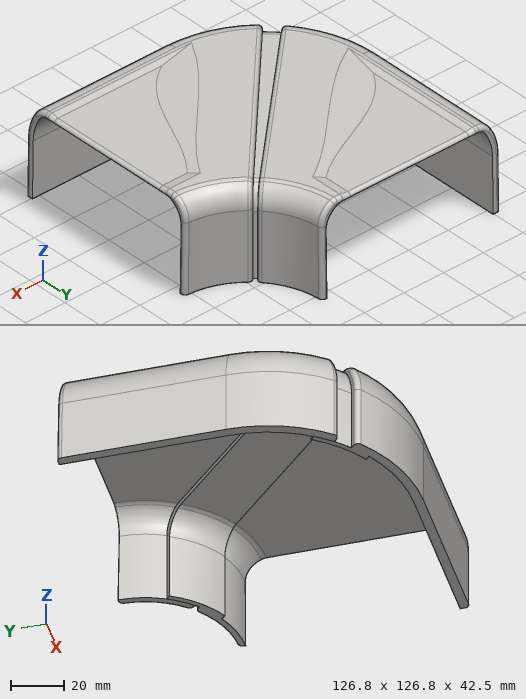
import cadquery as cq
import math

length = 126.84
height = 42.5
bend_radius = 60.6
throat_radius = 36.7

outer_edge = {"lower_radius": 22.0, "upper_radius": 7.9, "break_inset": 4.1}
throat_edge = {"lower_radius": 10.0, "upper_radius": 5.5, "break_inset": 6.2}
tongue_edge = {"lower_radius": 22.0, "upper_radius": 4.5, "break_inset": 3.6}

outer_wall = 3.8
throat_wall = 2.5
top_wall = 2.0
tongue_wall = 2.0

gap_half_width_outer = 3.8
gap_half_width_throat = 0.9
lip_radius = 1.9
tongue_reach = 12.0
tongue_root = 12.0

end_lean = 0.6
end_radius = 1.9

panel_depth = 0.6
panel_rim_curve = [(54.0, 12.1), (66.2, 29.9), (99.3, 65.7), (109.0, 79.0)]
panel_floor_curve = [(72.0, 15.5), (88.8, 32.7), (104.3, 63.8), (112.0, 75.0)]

margin = 20.0

outer_distance = bend_radius * (math.sqrt(2) - 1)
throat_distance = length * math.sqrt(2) - throat_radius
diagonal_start = outer_distance - margin
diagonal_end = throat_distance + margin
gap_taper = (gap_half_width_outer - gap_half_width_throat) / (throat_distance - outer_distance)


def edge_cutter(edge, wall_x, inward, top):
    """Section in XZ of the material above a rounded top edge; inward is +1 or -1 along X."""
    lower = edge["lower_radius"]
    upper = edge["upper_radius"]
    inset = edge["break_inset"]
    angle = math.acos(1 - inset / lower)
    mid_angle = angle / 2
    upper_mid_angle = (angle + math.pi / 2) / 2
    upper_center_inset = inset + upper * math.cos(angle)
    break_z = top - upper * (1 - math.sin(angle))
    wall_top = break_z - lower * math.sin(angle)

    def at(distance, z):
        return (wall_x + inward * distance, z)

    return (
        cq.Workplane("XZ")
        .moveTo(*at(0, wall_top))
        .threePointArc(
            at(lower * (1 - math.cos(mid_angle)), wall_top + lower * math.sin(mid_angle)),
            at(inset, break_z),
        )
        .threePointArc(
            at(upper_center_inset - upper * math.cos(upper_mid_angle),
               top - upper * (1 - math.sin(upper_mid_angle))),
            at(upper_center_inset, top),
        )
        .lineTo(*at(upper_center_inset, top + margin))
        .lineTo(*at(-margin, top + margin))
        .lineTo(*at(-margin, wall_top))
        .close()
    )


def mirror_leg(shape):
    """Swap the two legs: mirror in the vertical plane through the diagonal."""
    return shape.mirror(cq.Vector(1, -1, 0))


def bend_block(outer_inset, throat_inset, top_inset, edge):
    """Solid bend, inset from the outer surface; its legs run past the finished ends."""
    top = height - top_inset
    far = length + margin
    corner_mid = bend_radius - (bend_radius - outer_inset) / math.sqrt(2)
    throat_start = length - throat_radius - throat_inset
    throat_mid = length - (throat_radius + throat_inset) / math.sqrt(2)
    block = (
        cq.Workplane("XY")
        .moveTo(outer_inset, far)
        .lineTo(outer_inset, bend_radius)
        .threePointArc((corner_mid, corner_mid), (bend_radius, outer_inset))
        .lineTo(far, outer_inset)
        .lineTo(far, throat_start)
        .lineTo(length, throat_start)
        .threePointArc((throat_mid, throat_mid), (throat_start, length))
        .lineTo(throat_start, far)
        .close()
        .extrude(top)
    )

    outer_section = edge_cutter(edge, outer_inset, 1, top)
    outer_leg = outer_section.extrude(-(far - bend_radius)).translate((0, bend_radius, 0))
    outer_section = edge_cutter(edge, outer_inset, 1, top)
    outer_corner = outer_section.revolve(90, (bend_radius, 0), (bend_radius, 1))
    outer_corner = outer_corner.translate((0, bend_radius, 0))

    throat_section = edge_cutter(throat_edge, throat_start, -1, top)
    throat_leg = throat_section.extrude(-margin).translate((0, length, 0))
    throat_section = edge_cutter(throat_edge, throat_start, -1, top)
    throat_corner = throat_section.revolve(90, (length, 0), (length, 1))
    throat_corner = throat_corner.translate((0, length, 0))

    for cutter in (outer_leg, mirror_leg(outer_leg), outer_corner,
                   throat_leg, mirror_leg(throat_leg), throat_corner):
        block = block.cut(cutter)
    return block


def on_diagonal(distance, offset):
    """Plan point at a distance along the diagonal, offset square to it toward the X leg."""
    return ((distance + offset) / math.sqrt(2), (distance - offset) / math.sqrt(2))


def gap_half_width(distance):
    return gap_half_width_outer - gap_taper * (distance - outer_distance)


def x_leg_region():
    """Everything on the X leg's side of the gap, up to its leaning end."""
    side = (
        cq.Workplane("XY")
        .polyline([
            on_diagonal(diagonal_start, gap_half_width(diagonal_start)),
            on_diagonal(diagonal_end, gap_half_width(diagonal_end)),
            on_diagonal(diagonal_end, 2 * length),
            on_diagonal(diagonal_start, 2 * length),
        ])
        .close()
        .extrude(height)
    )
    leg = (
        cq.Workplane("XZ")
        .polyline([(0, 0), (length, 0), (length - end_lean, height), (0, height)])
        .close()
        .extrude(-length)
    )
    return side.intersect(leg)


def panel_outline(curve):
    """Closed plan outline from a blend curve out past the end of the X leg."""
    far = length + margin
    return (
        cq.Workplane("XY")
        .moveTo(*curve[0])
        .spline(curve[1:], includeCurrent=True)
        .lineTo(far, curve[-1][1])
        .lineTo(far, curve[0][1])
        .close()
        .val()
    )


def sunk_panel():
    """Material above the sunk panel of the X leg, lofted from its floor up to its rim."""
    floor = panel_outline(panel_floor_curve).translate(cq.Vector(0, 0, height - panel_depth))
    rim = panel_outline(panel_rim_curve).translate(cq.Vector(0, 0, height))
    return cq.Workplane(cq.Solid.makeLoft([floor, rim], True))


def round_face_rim(body, face_selector, radius):
    """Round the edges of one upright face, leaving its bottom edge sharp."""
    rim = body.faces(face_selector).edges("not <Z")
    return body.newObject(rim.vals()).fillet(radius)


def x_leg_cover(cavity):
    """Open-ended, open-bottomed cover of the X leg."""
    cover = bend_block(0, 0, 0, outer_edge).intersect(x_leg_region())
    gap_face = cq.selectors.NearestToPointSelector(
        (*on_diagonal((outer_distance + throat_distance) / 2, 0), height / 2)
    )
    end_face = cq.selectors.NearestToPointSelector((length, length / 3, height / 2))
    cover = round_face_rim(cover, gap_face, lip_radius)
    cover = cover.cut(sunk_panel())
    cover = round_face_rim(cover, end_face, end_radius)
    return cover.cut(cavity)


def tongue(cavity):
    """Shell that fills the cavity surface across the gap and slides under the Y leg's cover."""
    inside = bend_block(
        outer_wall + tongue_wall, throat_wall + tongue_wall, top_wall + tongue_wall, tongue_edge
    )
    span = (
        cq.Workplane("XY")
        .polyline([
            on_diagonal(diagonal_start, -tongue_reach),
            on_diagonal(diagonal_end, -tongue_reach),
            on_diagonal(diagonal_end, tongue_root),
            on_diagonal(diagonal_start, tongue_root),
        ])
        .close()
        .extrude(height)
    )
    return cavity.cut(inside).intersect(span)


cover_cavity = bend_block(outer_wall, throat_wall, top_wall, tongue_edge)
plain_cover = x_leg_cover(cover_cavity)
socket_half = mirror_leg(plain_cover)
tongue_half = plain_cover.union(tongue(cover_cavity))

result = cq.Compound.makeCompound([socket_half.val(), tongue_half.val()])